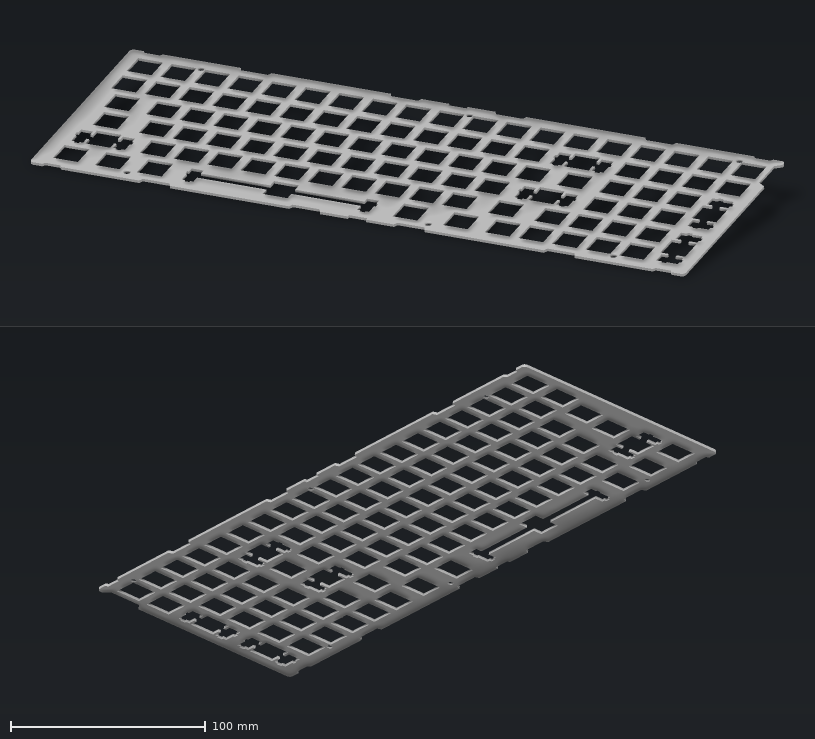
import cadquery as cq

plate_width = 372.0
plate_depth = 124.5
thickness = 1.5
tilt_angle = 8.4
right_edge = plate_width / 2
back_edge = plate_depth / 2
corner_radius = 2.2

key_columns = 19
key_rows = 6
pitch = 362.0 / key_columns
switch_size = 14.0

wing_offset = 12.0
spacebar_wing_offset = 50.0
wing_half_width = 3.4
wing_top = 5.5
wing_bottom = 6.7
wire_half_height = 2.3
foot_half_width = 1.5
foot_bottom = 7.8
ear_length = 0.93
ear_bottom = -0.5

notch_flare = 1.0
end_notch_offset = 173.5
end_notch_width = 8.5
shallow_notch_depth = 1.5
long_notch_offsets = [29.8, 115.0]
long_notch_width = 15.3
long_notch_depth = 2.2
centre_notch_width = 10.5

back_right_edge = 185.5
recess_edge = 182.0
recess_back = 56.0
recess_front = 38.0
recess_slope = 2.5

screw_diameter = 3.0
head_diameter = 4.5
countersink_angle = 90
screw_points = [
    (-143.0, 55.0), (9.5, 55.0), (162.5, 55.8),
    (-133.5, -55.8), (37.5, -55.8), (143.0, -55.8),
]


def run(first, count):
    """Column positions of neighbouring one-unit keys."""
    return [first + index for index in range(count)]


def key_point(column, row):
    """Plate position of a key centre; row 0.5 is the middle of the back row."""
    return ((column - key_columns / 2) * pitch, (key_rows / 2 - row) * pitch)


switch_rows = [
    run(0.5, 19),
    run(0.5, 13) + run(15.5, 4),
    [0.75] + run(2, 12) + [14.25] + run(15.5, 3),
    [0.875] + run(2.25, 11) + run(15.5, 3),
    run(2.75, 10) + [13.125] + run(14.5, 4),
    [0.625, 1.875, 3.125, 10.75, 12.25] + run(13.5, 5),
]
tall_keys = [(18.5, 3), (18.5, 5)]
wide_keys = [(14, 1.5), (13.875, 3.5), (1.125, 4.5)]
spacebar = (6.875, 5.5)
stabilized_keys = tall_keys + wide_keys + [spacebar]


def box(x_min, x_max, y_min, y_max):
    """Cutter or blank through the plate thickness."""
    return (
        cq.Workplane("XY")
        .center((x_min + x_max) / 2, (y_min + y_max) / 2)
        .rect(x_max - x_min, y_max - y_min)
        .extrude(thickness)
    )


def rim_notch(x, side, floor_width, depth, flare):
    """Notch in the back (side 1) or front (side -1) edge, each flank sloping outward by the flare."""
    edge = side * back_edge
    floor = edge - side * depth
    half_floor = floor_width / 2
    half_mouth = half_floor + flare
    return (
        cq.Workplane("XY")
        .polyline([
            (x - half_floor, floor),
            (x + half_floor, floor),
            (x + half_mouth, edge),
            (x - half_mouth, edge),
        ])
        .close()
        .extrude(thickness)
    )


def side_recess():
    """Recess with sloping flanks, and the trim that sets the back right corner slightly inward."""
    return (
        cq.Workplane("XY")
        .polyline([
            (right_edge, recess_front - recess_slope),
            (recess_edge, recess_front),
            (recess_edge, recess_back),
            (back_right_edge, recess_back + recess_slope),
            (back_right_edge, back_edge),
            (right_edge, back_edge),
        ])
        .close()
        .extrude(thickness)
    )


def blank():
    """Plate outline with its recess, rounded corners and rim notches."""
    plate = box(-right_edge, right_edge, -back_edge, back_edge)
    plate = plate.cut(side_recess())
    plate = plate.edges("|Z and (<X or <Y or >Y)").fillet(corner_radius)
    for side in (1, -1):
        plate = plate.cut(rim_notch(0, side, centre_notch_width, shallow_notch_depth, 0))
        for x in (-end_notch_offset, end_notch_offset):
            plate = plate.cut(rim_notch(x, side, end_notch_width, shallow_notch_depth, notch_flare))
        for offset in long_notch_offsets:
            for x in (-offset, offset):
                plate = plate.cut(rim_notch(x, side, long_notch_width, long_notch_depth, notch_flare))
    return plate


def stabilizer(offset):
    """Two wings with feet and outer ears, joined by the wire channel."""
    ear_end = offset + wing_half_width + ear_length
    cutter = box(-offset, offset, -wire_half_height, wire_half_height)
    cutter = cutter.union(box(-ear_end, ear_end, ear_bottom, wire_half_height))
    for x in (-offset, offset):
        cutter = cutter.union(box(x - wing_half_width, x + wing_half_width, -wing_bottom, wing_top))
        cutter = cutter.union(box(x - foot_half_width, x + foot_half_width, -foot_bottom, 0))
    return cutter


def switch_holes():
    points = [
        key_point(column, row + 0.5)
        for row, columns in enumerate(switch_rows)
        for column in columns
    ]
    points += [key_point(column, row) for column, row in stabilized_keys]
    return cq.Workplane("XY").pushPoints(points).rect(switch_size, switch_size).extrude(thickness)


def stabilizer_at(column, row, offset, turn=0):
    """Stabilizer cutout placed at a key centre and turned about it by the given angle."""
    x, y = key_point(column, row)
    return stabilizer(offset).rotate((0, 0, 0), (0, 0, 1), turn).translate((x, y, 0))


plate = blank().cut(switch_holes())

for column, row in wide_keys:
    plate = plate.cut(stabilizer_at(column, row, wing_offset))
for column, row in tall_keys:
    plate = plate.cut(stabilizer_at(column, row, wing_offset, turn=90))
plate = plate.cut(stabilizer_at(*spacebar, spacebar_wing_offset))

plate = (
    plate.faces(">Z")
    .workplane(origin=(0, 0, thickness))
    .pushPoints(screw_points)
    .cskHole(screw_diameter, head_diameter, countersink_angle)
)

result = plate.rotate((0, 0, 0), (1, 0, 0), tilt_angle)